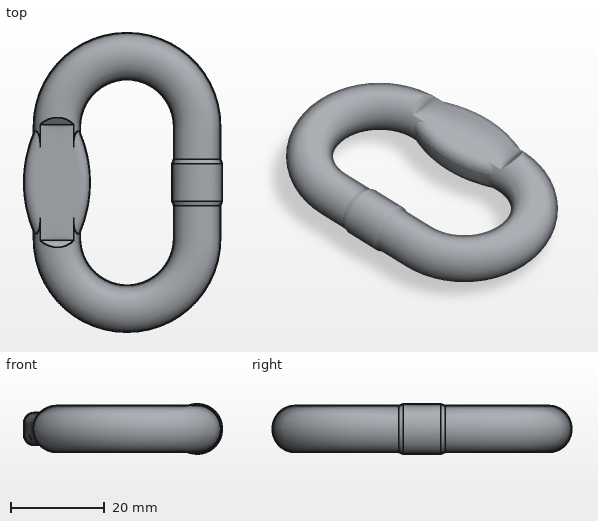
import cadquery as cq

overall_length = 63.9
bar_radius = 10.0 / 2
bend_radius = 14.95
straight_half = overall_length / 2 - bend_radius - bar_radius

collar_radius = 10.75 / 2
collar_half_length = 4.9
collar_crown_half = 3.95

flat_height = 3.5
flat_half_length = 12.3
bulge_half_width = 7.1
bulge_arc_radius = 26.85
bulge_fillet = 2.3


def make_link():
    path = (
        cq.Workplane("XY")
        .moveTo(bend_radius, 0)
        .lineTo(bend_radius, straight_half)
        .threePointArc((0, straight_half + bend_radius), (-bend_radius, straight_half))
        .lineTo(-bend_radius, -straight_half)
        .threePointArc((0, -straight_half - bend_radius), (bend_radius, -straight_half))
        .close()
    )
    return cq.Workplane("XZ", origin=(bend_radius, 0, 0)).circle(bar_radius).sweep(path)


def make_collar():
    """Sleeve with ends tapering down to the bar surface."""
    profile = (
        cq.Workplane("XY", origin=(bend_radius, 0, 0))
        .moveTo(0, -collar_half_length)
        .lineTo(bar_radius, -collar_half_length)
        .lineTo(collar_radius, -collar_crown_half)
        .lineTo(collar_radius, collar_crown_half)
        .lineTo(bar_radius, collar_half_length)
        .lineTo(0, collar_half_length)
        .close()
    )
    return profile.revolve(360, (0, 0, 0), (0, 1, 0))


def make_flat_cutter():
    """Trapezoid above the upper flat, with 45 degree ramps at both ends."""
    cutter_depth = 2 * bar_radius - flat_height
    top_half_length = flat_half_length + cutter_depth
    return (
        cq.Workplane("YZ", origin=(-bend_radius, 0, 0))
        .moveTo(-flat_half_length, flat_height)
        .lineTo(flat_half_length, flat_height)
        .lineTo(top_half_length, flat_height + cutter_depth)
        .lineTo(-top_half_length, flat_height + cutter_depth)
        .close()
        .extrude(bar_radius, both=True)
    )


def make_bulge():
    """Lens shared by two overlapping discs with rounded rims."""
    disc = (
        cq.Workplane("XY")
        .circle(bulge_arc_radius)
        .extrude(flat_height, both=True)
        .faces("|Z")
        .edges()
        .fillet(bulge_fillet)
    )
    disc_offset = bulge_arc_radius - bulge_half_width
    outer_side = disc.translate((-bend_radius + disc_offset, 0, 0))
    inner_side = disc.translate((-bend_radius - disc_offset, 0, 0))
    return outer_side.intersect(inner_side)


upper_cutter = make_flat_cutter()
lower_cutter = upper_cutter.mirror("XY")
flattened_link = make_link().cut(upper_cutter).cut(lower_cutter)
result = flattened_link.union(make_collar()).union(make_bulge())